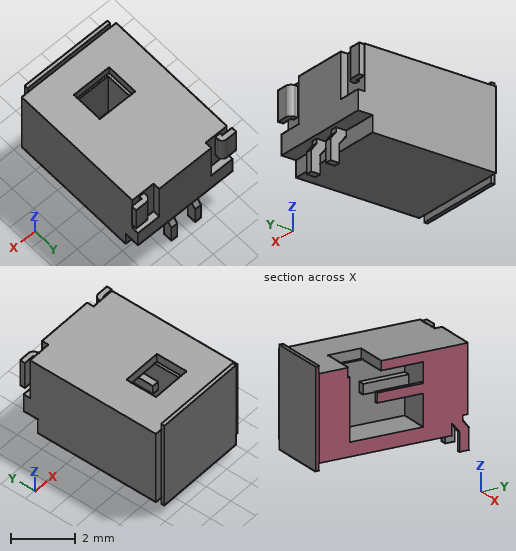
import cadquery as cq

overall_width = 4.24
overall_length = 5.54
overall_height = 3.85

cap_side = 3.5
cap_thickness = 0.135

housing_width = 4.0
housing_height = 3.0
housing_rear = 5.495
housing_top = housing_height / 2
undercut_front = 4.93
undercut_top = -0.9

notch_width = 0.9
notch_front = 5.235
notch_bottom = -0.16

tab_thickness = 0.2
tab_top = 1.4
tab_bottom = 0.305
tab_leg_inner_x = 1.505

window_width = 1.485
window_front = 1.175
window_rear = 2.37
window_depth = 0.345
chamber_width = 1.285
chamber_front = 1.24
chamber_rear = 3.88
chamber_floor = -0.995

contact_pitch = 1.0
contact_width = 0.25
contact_top = 0.46
contact_front = 2.225
contact_height = 0.355
tail_rear_top = 5.33
tail_thickness = 0.345
tail_bottom = cap_side / 2 - overall_height
rear_upper_bend = -1.06
rear_lower_bend = -1.335
front_upper_bend = -1.1
front_lower_bend = -1.43


def box(x_range, y_range, z_range):
    """Axis-aligned block given by its limits along each axis."""
    sizes = [limits[1] - limits[0] for limits in (x_range, y_range, z_range)]
    corner = (x_range[0], y_range[0], z_range[0])
    return cq.Workplane("XY").box(*sizes, centered=False).translate(corner)


def centered_span(width, center=0):
    """Limits of a span of the given width about a center."""
    return (center - width / 2, center + width / 2)


def make_shell():
    """Housing block with its lower rear undercut and rear corner notches."""
    half_width = housing_width / 2
    shell = box(
        centered_span(housing_width), (cap_thickness, housing_rear), centered_span(housing_height)
    )
    undercut = box(
        centered_span(housing_width), (undercut_front, housing_rear), (-housing_top, undercut_top)
    )
    notch = box(
        (half_width - notch_width, half_width), (notch_front, housing_rear), (notch_bottom, housing_top)
    )
    return shell.cut(undercut).cut(notch).cut(notch.mirror("YZ"))


def make_window():
    """Rectangular top opening leading into a narrower, longer chamber."""
    window_floor = housing_top - window_depth
    window = box(centered_span(window_width), (window_front, window_rear), (window_floor, housing_top))
    chamber = box(centered_span(chamber_width), (chamber_front, chamber_rear), (chamber_floor, window_floor))
    return window.union(chamber)


def make_tab():
    """Right-hand tab: a leg out of the notch, bent outward around a rounded corner."""
    outer_x = overall_width / 2
    leg_outer_x = tab_leg_inner_x + tab_thickness
    return (
        cq.Workplane("XY")
        .workplane(offset=tab_bottom)
        .moveTo(tab_leg_inner_x, notch_front)
        .lineTo(tab_leg_inner_x, overall_length - tab_thickness)
        .radiusArc((leg_outer_x, overall_length), tab_thickness)
        .lineTo(outer_x, overall_length)
        .lineTo(outer_x, overall_length - tab_thickness)
        .lineTo(leg_outer_x, overall_length - tab_thickness)
        .lineTo(leg_outer_x, notch_front)
        .close()
        .extrude(tab_top - tab_bottom)
    )


def make_contact(center_x):
    """Contact bar crossing the chamber, and the cranked tail below the rear of the housing."""
    span = centered_span(contact_width, center_x)
    bar = box(span, (contact_front, undercut_front), (contact_top - contact_height, contact_top))
    tail_front = overall_length - tail_thickness
    tail = (
        cq.Workplane("YZ")
        .workplane(offset=span[0])
        .polyline([
            (undercut_front, undercut_top),
            (tail_rear_top, undercut_top),
            (tail_rear_top, rear_upper_bend),
            (overall_length, rear_lower_bend),
            (overall_length, tail_bottom),
            (tail_front, tail_bottom),
            (tail_front, front_lower_bend),
            (undercut_front, front_upper_bend),
        ])
        .close()
        .extrude(contact_width)
    )
    return bar, tail


def make_housing():
    """Shell with its window, solder tabs and contacts as one solid."""
    housing = make_shell().cut(make_window())
    tab = make_tab()
    housing = housing.union(tab).union(tab.mirror("YZ"))
    for side in (-1, 1):
        bar, tail = make_contact(side * contact_pitch / 2)
        housing = housing.union(bar).union(tail)
    return housing


def make_cap():
    """Thin square plate against the front face of the housing."""
    return box(centered_span(cap_side), (0, cap_thickness), centered_span(cap_side))


housing = make_housing()
cap = make_cap()
result = cq.Compound.makeCompound([housing.solids().val(), cap.val()])